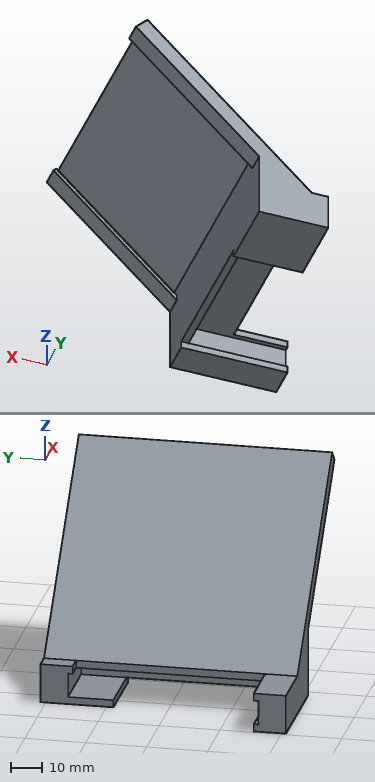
import cadquery as cq

total_length = 78.7
total_width = 83.2
total_height = 69.35

base_length = 36.4
base_height = 13.05
short_foot_setback = 12.7

plate_end_step = 4.0
plate_skin_step = 1.5
channel_step = 1.4
plate_front = total_length - plate_end_step - (total_height - base_height)
underside_offset = total_height - plate_end_step - total_length

channel_wall = 3.8
channel_lip_width = 6.3

pocket_wall = 9.1
lip_thickness = 2.5
back_wall = 2.5
foot_width = 10.6
wide_floor_width = 23.95

half_width = total_width / 2


def box_between(x_range, y_range, z_range):
    """Axis-aligned box spanning the given (low, high) ranges."""
    sizes = [high - low for low, high in (x_range, y_range, z_range)]
    corner = (x_range[0], y_range[0], z_range[0])
    return cq.Workplane("XY").box(*sizes, centered=False).translate(corner)


def side_profile(points, width):
    """Prism with the given XZ outline, centred on Y."""
    return cq.Workplane("XZ").polyline(points).close().extrude(width / 2, both=True)


def plate_slot(upper_step, lower_step, width):
    """Slot along the plate between two depths below its upper face, behind the base."""
    upper_offset = base_height - plate_front - 2 * upper_step
    lower_offset = base_height - plate_front - 2 * lower_step
    slot_end = total_length + plate_end_step
    outline = [
        (base_length, base_length + lower_offset),
        (slot_end, slot_end + lower_offset),
        (slot_end, slot_end + upper_offset),
        (base_length, base_length + upper_offset),
    ]
    return side_profile(outline, width)


body = side_profile(
    [
        (0, 0),
        (base_length, 0),
        (base_length, base_length + underside_offset),
        (total_length, total_height - plate_end_step),
        (total_length - plate_end_step, total_height),
        (plate_front, base_height),
        (0, base_height),
    ],
    total_width,
)

pocket_half_width = half_width - pocket_wall
body = body.cut(
    box_between(
        (0, base_length - back_wall),
        (-pocket_half_width, pocket_half_width),
        (lip_thickness, base_height - lip_thickness),
    )
)

foot_inner = half_width - foot_width
body = body.cut(
    box_between(
        (0, plate_front),
        (-foot_inner, foot_inner),
        (base_height - lip_thickness, base_height),
    )
)

body = body.cut(
    box_between(
        (0, base_length),
        (-foot_inner, half_width - wide_floor_width),
        (0, lip_thickness),
    )
)

body = body.cut(box_between((0, short_foot_setback), (0, half_width), (0, base_height)))

channel_bottom_step = plate_skin_step + channel_step
channel = plate_slot(plate_skin_step, channel_bottom_step, total_width - 2 * channel_wall)
mouth = plate_slot(channel_bottom_step, 2 * plate_end_step, total_width - 2 * channel_lip_width)
result = body.cut(channel).cut(mouth)